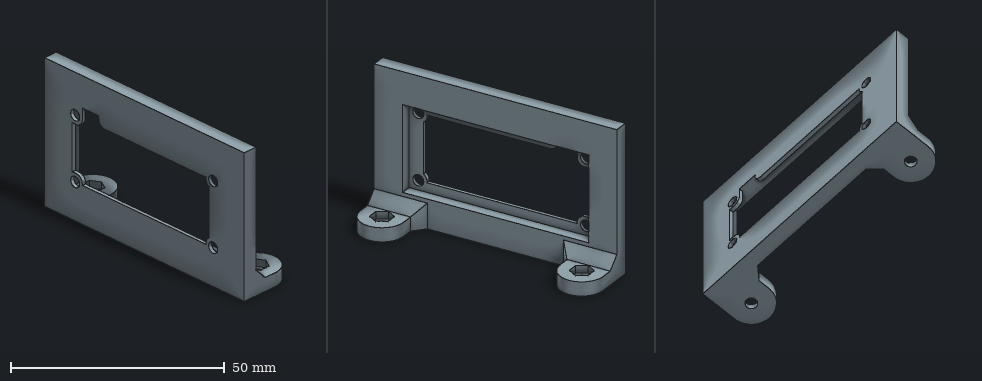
import cadquery as cq

width = 66.2
height = 39.6
plate_thickness = 4.0

screw_diameter = 2.9
screw_left, screw_right = 10.2, 55.9
screw_low, screw_high = 10.4, 28.15
land_half_width = 2.4

window_left, window_right = 9.2, 54.45
notch_right = 17.95
notch_top = 30.9
corner_radius = 2.0

web_thickness = 1.05
recess_margin = 2.5

total_depth = 16.0
tab_width = 11.8
tab_thickness = 3.8
gusset_depth = 3.05
gusset_flare = 2.8
nut_across_corners = 5.8
nut_depth = 2.0

screw_points = [(x, z) for x in (screw_left, screw_right) for z in (screw_low, screw_high)]
tab_radius = tab_width / 2
tab_center_y = total_depth - tab_radius


def front_box(left, right, low, high, start, depth):
    """Block given by its X and Z limits, running from Y = start toward +Y."""
    block = cq.Workplane("XY").box(right - left, depth, high - low, centered=False)
    return block.translate((left, start, low))


def window_cutter():
    """Through window, keeping a rounded square land around each screw."""
    window = front_box(window_left, window_right, screw_low, screw_high, 0, plate_thickness)
    notch_left = screw_left + land_half_width
    notch_end = notch_right + corner_radius
    notch = front_box(notch_left, notch_end, screw_high, notch_top, 0, plate_thickness)
    corner_fill = (
        cq.Workplane("XZ")
        .moveTo(notch_end, screw_high)
        .radiusArc((notch_right, screw_high + corner_radius), corner_radius)
        .lineTo(notch_right, notch_top)
        .lineTo(notch_end, notch_top)
        .close()
        .extrude(-plate_thickness)
    )
    lands = (
        cq.Workplane("XZ")
        .pushPoints(screw_points)
        .rect(2 * land_half_width, 2 * land_half_width)
        .extrude(-plate_thickness)
        .edges("|Y")
        .fillet(corner_radius)
    )
    return window.cut(lands).union(notch.cut(corner_fill))


def left_tab():
    """Rounded foot with a 45 degree gusset up the plate and a nut trap."""
    gusset_end = plate_thickness + gusset_depth
    plan = (
        cq.Workplane("XY")
        .lineTo(tab_width + gusset_flare, 0)
        .lineTo(tab_width + gusset_flare, plate_thickness)
        .lineTo(tab_width, gusset_end)
        .lineTo(tab_width, tab_center_y)
        .threePointArc((tab_radius, total_depth), (0, tab_center_y))
        .close()
        .extrude(tab_thickness + gusset_depth)
    )
    side = (
        cq.Workplane("YZ")
        .lineTo(total_depth, 0)
        .lineTo(total_depth, tab_thickness)
        .lineTo(gusset_end, tab_thickness)
        .lineTo(plate_thickness, tab_thickness + gusset_depth)
        .lineTo(0, tab_thickness + gusset_depth)
        .close()
        .extrude(tab_width + gusset_flare)
    )
    axis = cq.Workplane("XY").center(tab_radius, tab_center_y)
    bolt_hole = axis.circle(screw_diameter / 2).extrude(tab_thickness)
    nut_trap = (
        cq.Workplane("XY", origin=(tab_radius, tab_center_y, tab_thickness - nut_depth))
        .transformed(rotate=(0, 0, 90))
        .polygon(6, nut_across_corners)
        .extrude(nut_depth + gusset_depth)
    )
    return plan.intersect(side).cut(bolt_hole).cut(nut_trap)


tab = left_tab()
plate = front_box(0, width, 0, height, 0, plate_thickness)
result = plate.union(tab).union(tab.mirror("YZ").translate((width, 0, 0)))

recess = front_box(
    screw_left - recess_margin,
    screw_right + recess_margin,
    screw_low - recess_margin,
    notch_top,
    web_thickness,
    total_depth,
)
result = result.cut(recess).cut(window_cutter())

screw_holes = cq.Workplane("XZ").pushPoints(screw_points).circle(screw_diameter / 2).extrude(-web_thickness)
result = result.cut(screw_holes)